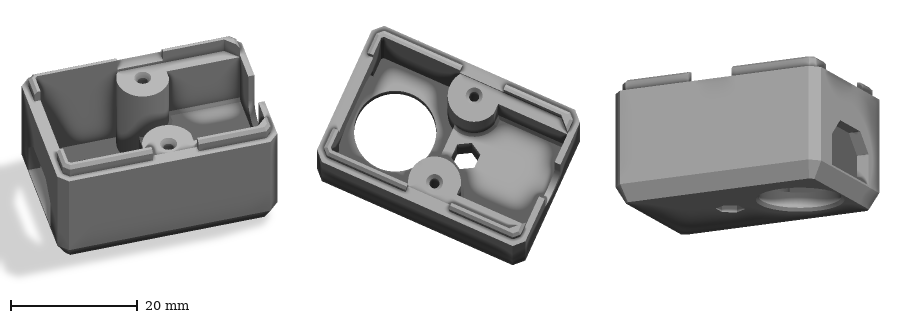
import cadquery as cq
import math

width = 24.0
length = 36.0
height = 20.0
corner = 1.5
base_inset = 1.5
base_height = 2.65
rim_top = 18.0

wall = 2.0
back_wall = 1.0
front_floor = 3.0
rear_floor = 8.0
floor_step_y = -0.65
through = 2 * height

lip_inset = wall / 2
lip_bevel = 0.5
side_gap_front = -2.5
side_gap_back = 5.0
front_gap = 13.25

pad_top = 17.5
boss_x = 7.65
boss_y = 1.0
boss_radius = 4.18
ledge_x = 8.0
ledge_front = side_gap_back
foot = 0.5
screw_diameter = 1.6
countersink_diameter = 2.65
countersink_depth = 0.8

round_hole_diameter = 13.0
round_hole_y = -9.2
round_hole_bevel = 0.5
hex_flats = 4.0
hex_y = 3.0
window_width = front_gap
window_top = 11.0
window_bevel = 3.0
slot_width = 6.0
slot_center_z = 12.5

cavity_x = width / 2 - wall
cavity_front = wall - length / 2
cavity_back = length / 2 - back_wall


def corner_leg(inset):
    """Corner chamfer leg after moving every side of the outline inward."""
    return corner - inset * (2 - math.sqrt(2))


def body_outline(plane, inset):
    """Rectangle with chamfered corners, inset evenly from the outer walls."""
    x = width / 2 - inset
    y = length / 2 - inset
    leg = corner_leg(inset)
    points = [
        (x, leg - y), (x, y - leg), (x - leg, y), (leg - x, y),
        (-x, y - leg), (-x, leg - y), (leg - x, -y), (x - leg, -y),
    ]
    return plane.polyline(points).close()


def box(x_size, y_min, y_max, z_min, z_max):
    """Block centred on X between the given Y and Z limits."""
    block = cq.Workplane("XY").box(x_size, y_max - y_min, z_max - z_min, centered=(True, False, False))
    return block.translate((0, y_min, z_min))


def make_shell():
    """Solid outer form: tapered base and straight walls."""
    base = body_outline(cq.Workplane("XY"), base_inset)
    base = body_outline(base.workplane(offset=base_height), 0).loft(ruled=True)
    walls = body_outline(cq.Workplane("XY").workplane(offset=base_height), 0)
    return base.union(walls.extrude(rim_top - base_height))


def make_lip():
    """Bevelled lip on the rim, interrupted at the front and at both sides."""
    lip = body_outline(cq.Workplane("XY").workplane(offset=rim_top), lip_inset)
    lip = lip.extrude(height - rim_top).faces(">Z").chamfer(lip_bevel)
    lip = lip.cut(box(width, side_gap_front, side_gap_back, rim_top, height))
    return lip.cut(box(front_gap, -length / 2, cavity_front, rim_top, height))


def make_cavity():
    """Space inside the walls, with wide chamfers in the two back corners."""
    front_leg = corner_leg(wall)
    back_leg = cavity_x - ledge_x
    right_side = [
        (cavity_x - front_leg, cavity_front),
        (cavity_x, cavity_front + front_leg),
        (cavity_x, cavity_back - back_leg),
        (ledge_x, cavity_back),
    ]
    left_side = [(-x, y) for x, y in reversed(right_side)]
    plane = cq.Workplane("XY").workplane(offset=front_floor)
    return plane.polyline(right_side + left_side).close().extrude(height - front_floor)


def pad_outline(plane, growth):
    """Right-hand boss and ledge, with the inner faces moved outward by growth."""
    radius = boss_radius + growth
    inner_x = ledge_x - growth
    shoulder_y = ledge_front + growth
    shoulder_x = boss_x - math.sqrt(radius ** 2 - (shoulder_y - boss_y) ** 2)
    return (
        plane.moveTo(inner_x, cavity_back)
        .lineTo(inner_x, shoulder_y)
        .lineTo(shoulder_x, shoulder_y)
        .threePointArc((boss_x - radius, boss_y), (boss_x, boss_y - radius))
        .threePointArc(
            (boss_x + radius * math.sqrt(0.5), boss_y - radius * math.sqrt(0.5)),
            (boss_x + radius, boss_y),
        )
        .lineTo(boss_x + radius, cavity_back)
        .close()
    )


def make_pad():
    """Right-hand screw pad with a bevelled foot on the rear floor."""
    pad = pad_outline(cq.Workplane("XY").workplane(offset=front_floor), 0).extrude(pad_top - front_floor)
    bevel = pad_outline(cq.Workplane("XY").workplane(offset=rear_floor), foot)
    bevel = pad_outline(bevel.workplane(offset=foot), 0).loft(ruled=True)
    return pad.union(bevel.intersect(box(width, floor_step_y, cavity_back, rear_floor, pad_top)))


def make_window():
    """Front opening, level with the front floor and bevelled at its upper corners."""
    x = window_width / 2
    points = [
        (-x, front_floor), (x, front_floor),
        (x, window_top - window_bevel), (x - window_bevel, window_top),
        (window_bevel - x, window_top), (-x, window_top - window_bevel),
    ]
    plane = cq.Workplane("XZ", origin=(0, cavity_front, 0))
    return plane.polyline(points).close().extrude(wall)


def make_slot():
    """Round-bottomed slot in the back wall, open at the rim."""
    plane = cq.Workplane("XZ", origin=(0, length / 2, 0))
    bottom = plane.center(0, slot_center_z).circle(slot_width / 2).extrude(back_wall)
    return bottom.union(box(slot_width, cavity_back, length / 2, slot_center_z, height))


def make_round_hole():
    """Large hole through the front floor, bevelled at the underside."""
    radius = round_hole_diameter / 2
    half_profile = [
        (0, 0), (radius + round_hole_bevel, 0),
        (radius, round_hole_bevel), (radius, front_floor), (0, front_floor),
    ]
    hole = cq.Workplane("XZ").polyline(half_profile).close().revolve(360, (0, 0), (0, 1))
    return hole.translate((0, round_hole_y, 0))


def make_screw_hole(side):
    """Blind countersunk hole in one boss, down to the front floor level."""
    half_profile = [
        (0, front_floor), (screw_diameter / 2, front_floor),
        (screw_diameter / 2, pad_top - countersink_depth),
        (countersink_diameter / 2, pad_top), (0, pad_top),
    ]
    hole = cq.Workplane("XZ").polyline(half_profile).close().revolve(360, (0, 0), (0, 1))
    return hole.translate((side * boss_x, boss_y, 0))


cavity = make_cavity()
body = make_shell().union(make_lip()).cut(cavity)

body = body.union(box(2 * cavity_x, floor_step_y, cavity_back, front_floor, rear_floor))
right_pad = make_pad().intersect(cavity)
body = body.union(right_pad).union(right_pad.mirror("YZ"))

body = body.cut(make_window()).cut(make_slot())

body = body.cut(make_round_hole())
hex_corners = hex_flats / math.cos(math.pi / 6)
body = body.cut(cq.Workplane("XY").center(0, hex_y).polygon(6, hex_corners).extrude(through))

for side in (-1, 1):
    body = body.cut(make_screw_hole(side))

result = body